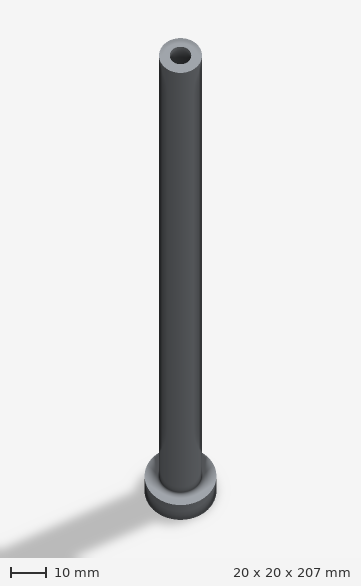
import cadquery as cq

total_length = 207.0
head_diameter = 20.0
head_height = 7.0
shaft_diameter = 12.0
bore_diameter = 6.0
neck_fillet = 0.5

head_radius = head_diameter / 2
shaft_radius = shaft_diameter / 2
bore_radius = bore_diameter / 2

half_section = (
    cq.Workplane("XZ")
    .moveTo(bore_radius, 0)
    .lineTo(head_radius, 0)
    .lineTo(head_radius, head_height)
    .lineTo(shaft_radius + neck_fillet, head_height)
    .radiusArc((shaft_radius, head_height + neck_fillet), neck_fillet)
    .lineTo(shaft_radius, total_length)
    .lineTo(bore_radius, total_length)
    .close()
)

result = half_section.revolve(360, (0, 0, 0), (0, 1, 0))